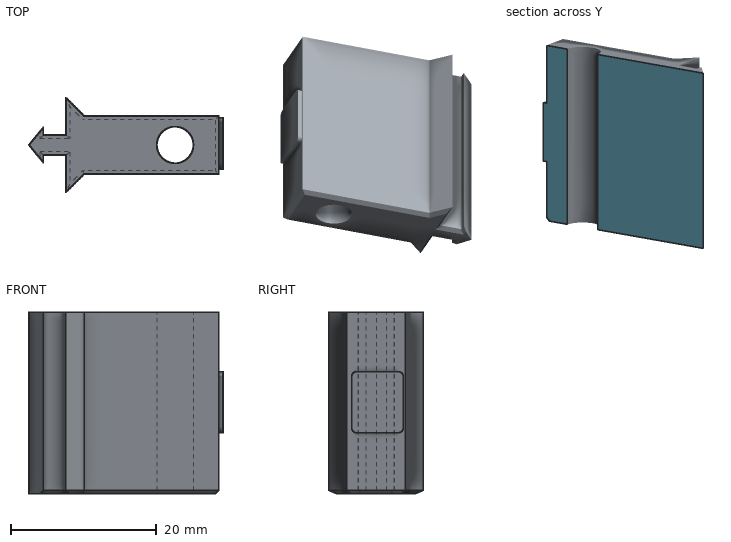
import cadquery as cq

height = 25.0
body_length = 18.5
body_width = 8.0
flange_width = 13.0
flange_length = (flange_width - body_width) / 2
stem_length = 3.1
stem_width = 2.8
arrow_length = 2.0
arrow_width = 4.85

bottom_chamfer = 0.5

hole_diameter = 5.0
hole_to_end = 6.0

pad_thickness = 0.6
pad_width = 7.1
pad_height = 8.4
pad_center_y = 0.2
pad_center_z = 12.6
pad_corner_radius = 0.7

arrow_back_x = arrow_length
flange_face_x = arrow_back_x + stem_length
flare_end_x = flange_face_x + flange_length
body_end_x = flare_end_x + body_length


def make_profile_block():
    """Extrude the symmetric plan outline to full height."""
    half_outline = [
        (0, 0),
        (arrow_back_x, arrow_width / 2),
        (arrow_back_x, stem_width / 2),
        (flange_face_x, stem_width / 2),
        (flange_face_x, flange_width / 2),
        (flare_end_x, body_width / 2),
        (body_end_x, body_width / 2),
        (body_end_x, 0),
    ]
    return cq.Workplane("XY").polyline(half_outline).close().mirrorX().extrude(height)


def chamfer_bottom(block):
    """Bevel every bottom edge except the two slanted faces of the arrow."""
    arrow_slants = cq.selectors.BoxSelector(
        (0, -arrow_width / 2, -bottom_chamfer),
        (arrow_back_x - bottom_chamfer, arrow_width / 2, bottom_chamfer),
    )
    bottom_edges = block.faces("<Z").edges()
    beveled_edges = bottom_edges.edges(cq.selectors.InverseSelector(arrow_slants))
    return beveled_edges.chamfer(bottom_chamfer)


def make_hole():
    return (
        cq.Workplane("XY")
        .center(body_end_x - hole_to_end, 0)
        .circle(hole_diameter / 2)
        .extrude(height)
    )


def make_end_pad():
    return (
        cq.Workplane("YZ", origin=(body_end_x, pad_center_y, pad_center_z))
        .rect(pad_width, pad_height)
        .extrude(pad_thickness)
        .edges("|X")
        .fillet(pad_corner_radius)
    )


block = chamfer_bottom(make_profile_block())
result = block.cut(make_hole()).union(make_end_pad())